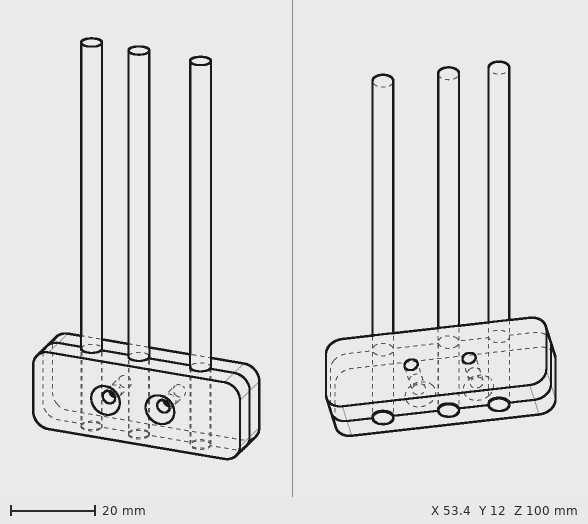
import cadquery as cq

block_length = 53.4
block_depth = 12.0
block_height = 20.0
corner_radius = 4.0
half_depth = block_depth / 2

rod_diameter = 5.0
rod_length = 100.0
rod_overhang = 0.3
left_rod_x = -14.1
middle_rod_x = -1.9
right_rod_x = 14.0
rod_positions = [left_rod_x, middle_rod_x, right_rod_x]

screw_hole_diameter = 3.2
countersink_diameter = 7.4
countersink_angle = 90
screw_positions = [
    (left_rod_x + middle_rod_x) / 2,
    (middle_rod_x + right_rod_x) / 2,
]


def make_rod(x):
    """Plain vertical rod that passes right through the block."""
    return (
        cq.Workplane("XY", origin=(x, 0, -rod_overhang))
        .circle(rod_diameter / 2)
        .extrude(rod_length)
    )


def make_half_blank(back_y):
    """Round-cornered plate, half the block deep, that ends at back_y."""
    return (
        cq.Workplane("XZ", origin=(0, back_y, block_height / 2))
        .rect(block_length, block_height)
        .extrude(half_depth)
        .edges("|Y")
        .fillet(corner_radius)
    )


def cut_rod_grooves(half):
    """Cut the half-round seats for the rods."""
    for x in rod_positions:
        half = half.cut(make_rod(x))
    return half


def make_front_half():
    """Front half with countersunk screw holes."""
    half = (
        make_half_blank(0)
        .faces("<Y")
        .workplane(origin=(0, -half_depth, block_height / 2))
        .pushPoints([(x, 0) for x in screw_positions])
        .cskHole(screw_hole_diameter, countersink_diameter, countersink_angle)
    )
    return cut_rod_grooves(half)


def make_back_half():
    """Back half with plain through holes for the screws."""
    half = (
        make_half_blank(half_depth)
        .faces("<Y")
        .workplane(origin=(0, 0, block_height / 2))
        .pushPoints([(x, 0) for x in screw_positions])
        .hole(screw_hole_diameter)
    )
    return cut_rod_grooves(half)


front_half = make_front_half()
back_half = make_back_half()
rods = [make_rod(x) for x in rod_positions]

result = cq.Compound.makeCompound([
    front_half.solids().val(),
    back_half.solids().val(),
    *[rod.val() for rod in rods],
])